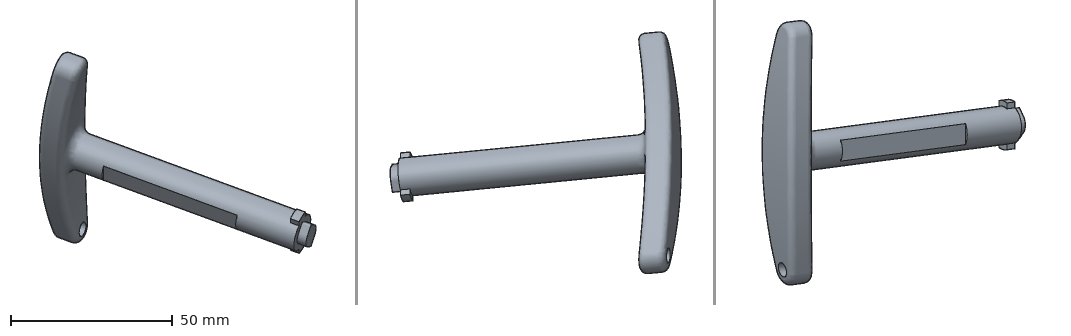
import cadquery as cq
import math


TOTAL_LENGTH = 89.93
GRIP_HEIGHT = 82.98
GRIP_WIDTH = 17.8

GRIP_THICKNESS = 8.5
GRIP_BEND_RADIUS = 250.0
GRIP_END_RADIUS = 5.0
GRIP_EDGE_FILLET = 2.0
HANG_HOLE_DIAMETER = 4.5

SHAFT_DIAMETER = 12.0
NECK_FILLET = 3.0
FLAT_LENGTH = 46.0
FLAT_DEPTH = 1.0
FLAT_TO_SHAFT_END = 20.0

LUG_LENGTH = 3.0
LUG_WIDTH = 4.5
LUG_SPAN = 15.5
TIP_LENGTH = 3.0
TIP_DIAMETER = 7.2
TIP_RIDGE_RADIUS = 0.5

SHAFT_RADIUS = SHAFT_DIAMETER / 2
SHAFT_END = TOTAL_LENGTH - TIP_LENGTH
GRIP_END_CENTRE = GRIP_HEIGHT / 2 - GRIP_END_RADIUS


def make_grip_outline():
    """Grip silhouette along X: two bowed sides tangent to two round ends."""
    half_width = GRIP_WIDTH / 2
    width_drop = half_width - GRIP_END_RADIUS
    side_radius = (GRIP_END_CENTRE**2 + half_width**2 - GRIP_END_RADIUS**2) / (2 * width_drop)
    tangent_angle = math.asin(GRIP_END_CENTRE / (side_radius - GRIP_END_RADIUS))
    corner_y = GRIP_END_RADIUS * math.cos(tangent_angle)
    corner_z = GRIP_END_CENTRE + GRIP_END_RADIUS * math.sin(tangent_angle)
    return (
        cq.Workplane("YZ")
        .moveTo(corner_y, -corner_z)
        .threePointArc((half_width, 0), (corner_y, corner_z))
        .threePointArc((0, GRIP_HEIGHT / 2), (-corner_y, corner_z))
        .threePointArc((-half_width, 0), (-corner_y, -corner_z))
        .threePointArc((0, -GRIP_HEIGHT / 2), (corner_y, -corner_z))
        .close()
    )


def make_grip():
    """Curved slab of constant thickness, trimmed to the grip outline and rounded."""
    inner_radius = GRIP_BEND_RADIUS - GRIP_THICKNESS
    slab = (
        cq.Workplane("XZ")
        .center(GRIP_BEND_RADIUS, 0)
        .circle(GRIP_BEND_RADIUS)
        .circle(inner_radius)
        .extrude(GRIP_WIDTH, both=True)
    )
    prism_length = 2 * GRIP_THICKNESS
    grip = make_grip_outline().extrude(prism_length).intersect(slab)
    return grip.faces("<X or >X").edges().fillet(GRIP_EDGE_FILLET)


def make_shaft():
    """Plain round shaft, started inside the grip."""
    start = GRIP_THICKNESS / 2
    return cq.Workplane("YZ", origin=(start, 0, 0)).circle(SHAFT_RADIUS).extrude(SHAFT_END - start)


def join_with_neck(grip, shaft):
    """Join grip and shaft and fillet the ring where the shaft leaves the grip."""
    body = grip.union(shaft)
    zone_depth = 1.0
    neck_zone = cq.selectors.BoxSelector(
        (GRIP_THICKNESS - zone_depth, -SHAFT_DIAMETER, -SHAFT_DIAMETER),
        (GRIP_THICKNESS + zone_depth, SHAFT_DIAMETER, SHAFT_DIAMETER),
    )
    return body.edges(neck_zone).fillet(NECK_FILLET)


def make_flat_cutter():
    """Block that cuts the flat on the -Y side of the shaft."""
    flat_end = SHAFT_END - FLAT_TO_SHAFT_END
    block = cq.Workplane("XY").box(
        FLAT_LENGTH, FLAT_DEPTH, SHAFT_DIAMETER, centered=(False, False, True)
    )
    return block.translate((flat_end - FLAT_LENGTH, -SHAFT_RADIUS, 0))


def make_lugs():
    """Bar across the shaft end whose round-topped ends stand out at +Z and -Z."""
    disc_plane = cq.Workplane("YZ", origin=(SHAFT_END - LUG_LENGTH, 0, 0))
    disc = disc_plane.circle(LUG_SPAN / 2).extrude(LUG_LENGTH)
    bar = disc_plane.rect(LUG_WIDTH, LUG_SPAN).extrude(LUG_LENGTH)
    return disc.intersect(bar)


def make_tip():
    """Round pin with a rounded ridge at +Z and -Z, its 45 degree sides tangent to the pin."""
    plane = cq.Workplane("YZ", origin=(SHAFT_END, 0, 0))
    pin = plane.circle(TIP_DIAMETER / 2).extrude(TIP_LENGTH)
    diamond = plane.transformed(rotate=(0, 0, 45)).rect(TIP_DIAMETER, TIP_DIAMETER).extrude(TIP_LENGTH)
    diamond = diamond.edges("|X and (>Z or <Z)").fillet(TIP_RIDGE_RADIUS)
    tangent_width = TIP_DIAMETER * math.cos(math.radians(45))
    ridge_limit = plane.rect(tangent_width, 2 * TIP_DIAMETER).extrude(TIP_LENGTH)
    return pin.union(diamond.intersect(ridge_limit))


def make_hang_hole():
    """Through hole along X at the lower end of the grip, concentric with the round end."""
    return (
        cq.Workplane("YZ")
        .center(0, -GRIP_END_CENTRE)
        .circle(HANG_HOLE_DIAMETER / 2)
        .extrude(2 * GRIP_THICKNESS)
    )


body = join_with_neck(make_grip(), make_shaft())
body = body.cut(make_flat_cutter()).cut(make_hang_hole())
result = body.union(make_lugs()).union(make_tip())